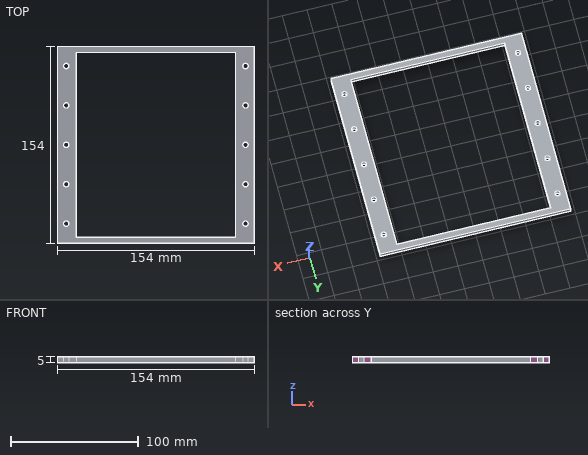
import cadquery as cq

side = 154.0
thickness = 5.0

wide_rail = 15.0
narrow_rail = 5.0

hole_diameter = 4.0
hole_edge_distance = 7.0
holes_per_row = 5
hole_pitch = side / holes_per_row
row_spacing = side - 2 * hole_edge_distance

plate = cq.Workplane("XY").box(side, side, thickness)

frame = (
    plate.faces(">Z").workplane()
    .rect(side - 2 * wide_rail, side - 2 * narrow_rail)
    .cutThruAll()
)

result = (
    frame.faces(">Z").workplane(origin=(0, 0, 0))
    .rarray(row_spacing, hole_pitch, 2, holes_per_row)
    .hole(hole_diameter)
)